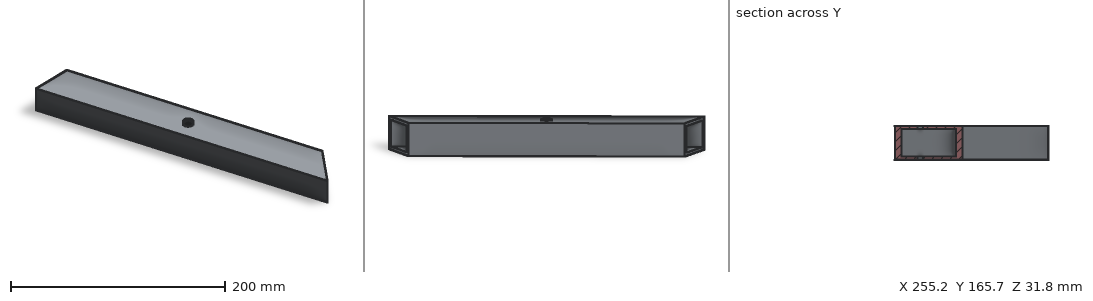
import cadquery as cq
import math

tube_size = 31.75
wall = 3.175
long_side = 294.64
tube_angle = 30.0
miter_angle = 30.0
hole_diameter = 10.08


def mitred_bar(inset):
    """Square bar along X, inset on its four long sides, cut by the miter planes."""
    slope = math.tan(math.radians(miter_angle))
    near = inset
    far = tube_size - inset
    outline = [
        (near * slope, near),
        (long_side - near * slope, near),
        (long_side - far * slope, far),
        (far * slope, far),
    ]
    height = tube_size - 2 * inset
    return cq.Workplane("XY").workplane(offset=inset).polyline(outline).close().extrude(height)


def cross_hole():
    """Vertical hole through both horizontal walls at the middle of the tube."""
    return (
        cq.Workplane("XY")
        .center(long_side / 2, tube_size / 2)
        .circle(hole_diameter / 2)
        .extrude(tube_size)
    )


tube = mitred_bar(0).cut(mitred_bar(wall)).cut(cross_hole())
result = tube.rotate((0, 0, 0), (0, 0, 1), tube_angle)